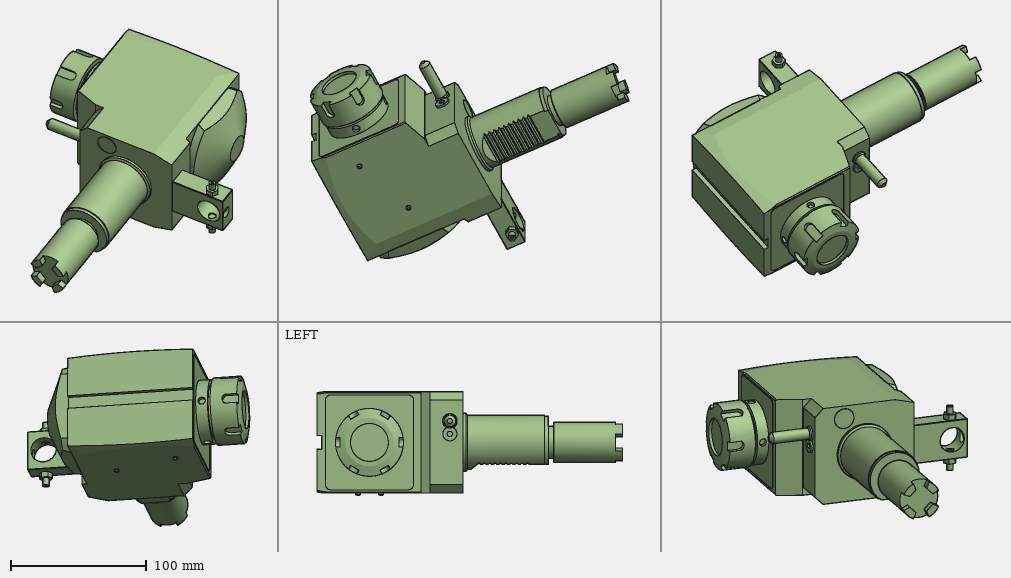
import cadquery as cq
import math


overlap = 2.3

half_height = 37.5
left_x, right_x, back_y = -58.6, 35.0, 107.8
flange_half, flange_left_y, flange_right_y = 39.0, 24.4, 27.0
left_corner_y, right_corner_y = 31.1, 28.9
head_overhang = 0.7
flange_chamfer = 6.3
left_edge_chamfer = 1.0
side_slope_x, side_slope_angle = 24.0, 15.0
crown_x, crown_y, crown_radius, crown_angle = -17.5, -12.5, 115.5, 10.0
crown_rim_radius = 146.5
back_slot_width, back_slot_depth = 10.0, 3.5
cover_width, cover_height, cover_radius, cover_depth = 65.2, 70.0, 4.0, 0.2
plug_x, plug_z, plug_radius, plug_depth = -16.0, 27.5, 7.7, 0.2

spindle_y = 69.0
nut_face_x, nut_shoulder_x, nut_back_x = -91.3, -89.3, -69.5
collar_front_x = -67.2
nut_face_radius, nut_radius = 17.8, 25.0
neck_radius, collar_radius = 20.8, 24.0
bore_radius, bore_depth = 14.0, 2.3
nut_slot_width, nut_slot_depth = 7.0, 3.4
nut_slot_end, nut_slot_end_upper = -78.3, -74.7
upper_slot_angles = (60, 120)
collar_hole_x, collar_hole_radius, collar_hole_depth = -63.0, 2.7, 3.4

cap_radius, cap_tip_radius = 40.4, 10.1
cap_rim_x, cap_tip_x, cap_flat_y = 41.3, 55.3, 100.4
cap_inset = 0.7

ring_radius, ring_length, ring_end_y = 21.7, 2.0, -3.2
shank_radius, shank_end_y, shank_end_radius, shank_end_length = 20.0, -63.0, 19.5, 2.7
drive_neck_radius, drive_start_y = 12.0, -66.8
drive_diameter, drive_face_y, drive_end_y = 30.0, -112.5, -117.7
drive_chamfer = 0.5
drive_radius = drive_diameter / 2
lug_inner_radius, lug_half_angle = 10.0, 20.5
flat_z, flat_start_y, flat_ramp_y, flat_ramp_angle = -16.2, -10.4, -5.5, 39.0
tooth_first_y, tooth_last_y, tooth_count, tooth_depth = -11.7, -47.5, 10, 1.1
tooth_pitch = (tooth_first_y - tooth_last_y) / (tooth_count - 1)

pin_y, pin_z, pin_radius, pin_tip_x, pin_tip_chamfer = 9.7, 15.8, 4.3, -72.0, 2.5
pin_collar_radius, pin_collar_x, pin_collar_chamfer = 5.5, -41.3, 1.0
screw_z, screw_radius, screw_height, screw_socket = 6.3, 5.2, 1.5, 4.3
nipple_places = ((-40.4, 77.4), (6.8, 60.5))
nipple_radius, nipple_height = 1.8, 1.8

arm_end_x, arm_front_y, arm_back_y, arm_half_height = 81.6, 1.1, 16.2, 15.0
arm_chamfer = 0.5
arm_hole_x, arm_hole_radius = 69.7, 9.5
end_hole_radius = 4.3
stud_y, stud_radius, stud_top = 6.3, 2.5, 24.8
stud_recess_radius, stud_recess_height = 3.0, 10.4
lock_nut_width, lock_nut_height = 9.7, 4.0
stud_socket, stud_socket_depth = 2.5, 1.8


def prism_z(points, half):
    return cq.Workplane("XY").polyline(points).close().extrude(half, both=True)


def cylinder_x(y, z, radius, x_from, x_to):
    return cq.Workplane("YZ", origin=(x_from, y, z)).circle(radius).extrude(x_to - x_from)


def side_slopes(inset):
    """Cross-section that narrows toward +X along both 15 degree faces."""
    far_x = cap_tip_x + overlap
    drop = math.tan(math.radians(side_slope_angle)) * (far_x - side_slope_x)
    top = half_height - inset
    outline = [(left_x, -top), (side_slope_x, -top), (far_x, drop - top),
               (far_x, top - drop), (side_slope_x, top), (left_x, top)]
    wedge = cq.Workplane("XZ", origin=(0, back_y, 0)).polyline(outline).close()
    return wedge.extrude(back_y + overlap)


def crown():
    """Disc with 10 degree conical rims that slope the back of the housing."""
    rim = half_height - math.tan(math.radians(crown_angle)) * (crown_rim_radius - crown_radius)
    section = cq.Workplane("XZ", origin=(crown_x, crown_y, 0)).polyline([
        (0, -half_height), (crown_radius, -half_height), (crown_rim_radius, -rim),
        (crown_rim_radius, rim), (crown_radius, half_height), (0, half_height)]).close()
    return section.revolve(360, (0, 0, 0), (0, 1, 0))


def housing():
    head = prism_z([(left_x, left_corner_y), (-flange_half - head_overhang, flange_left_y),
                    (right_x, flange_left_y), (right_x, back_y), (left_x, back_y)], half_height)
    head = head.faces("<X").edges("|Y").chamfer(left_edge_chamfer)
    flange = prism_z([(-flange_half, 0), (flange_half, 0), (flange_half, flange_right_y),
                      (right_x, right_corner_y), (-flange_half, right_corner_y)], half_height)
    flange = flange.faces("<X").edges("|Y").chamfer(flange_chamfer)
    body = head.union(flange).intersect(side_slopes(0)).intersect(crown())

    slot = cq.Workplane("XY").box(4 * right_x, 2 * back_slot_depth, back_slot_width)
    body = body.cut(slot.translate((0, back_y, 0)))
    cover = (cq.Workplane("YZ", origin=(left_x, spindle_y, 0)).rect(cover_width, cover_height)
             .extrude(cover_depth).edges("|X").fillet(cover_radius))
    plug = cq.Workplane("XZ", origin=(plug_x, 0, plug_z)).circle(plug_radius).extrude(-plug_depth)
    return body.cut(cover).cut(plug)


def nut_slot(end_x):
    """Open-ended slot cutter with a round end, lying on the +Y side of the spindle axis."""
    floor = nut_radius - nut_slot_depth
    length = 2 * (end_x - nut_face_x)
    slot = cq.Workplane("XZ", origin=(nut_face_x, floor, 0)).slot2D(length, nut_slot_width)
    return slot.extrude(-2 * nut_slot_depth)


def spindle():
    """Collet nut and collar, built about the X axis and then moved to the spindle axis."""
    profile = cq.Workplane("XY").polyline([
        (nut_face_x, 0), (nut_face_x, nut_face_radius), (nut_shoulder_x, nut_radius),
        (nut_back_x, nut_radius), (nut_back_x, neck_radius),
        (collar_front_x, neck_radius), (collar_front_x, collar_radius),
        (left_x + overlap, collar_radius), (left_x + overlap, 0)]).close()
    body = profile.revolve(360, (0, 0, 0), (1, 0, 0))
    body = body.cut(cylinder_x(0, 0, bore_radius, nut_face_x, nut_face_x + bore_depth))
    for angle in range(0, 360, 60):
        end_x = nut_slot_end_upper if angle in upper_slot_angles else nut_slot_end
        body = body.cut(nut_slot(end_x).rotate((0, 0, 0), (1, 0, 0), angle))
    for angle in range(0, 360, 90):
        hole = (cq.Workplane("XY", origin=(collar_hole_x, 0, collar_radius - collar_hole_depth))
                .circle(collar_hole_radius).extrude(2 * collar_hole_depth))
        body = body.cut(hole.rotate((0, 0, 0), (1, 0, 0), angle))
    return body.translate((0, spindle_y, 0))


def rear_cap():
    profile = cq.Workplane("XY", origin=(0, spindle_y, 0)).polyline([
        (right_x - overlap, 0), (right_x - overlap, cap_radius), (cap_rim_x, cap_radius),
        (cap_tip_x, cap_tip_radius), (cap_tip_x, 0)]).close()
    cap = profile.revolve(360, (0, 0, 0), (1, 0, 0)).intersect(side_slopes(cap_inset))
    beyond_flat = cq.Workplane("XY").box(4 * cap_tip_x, cap_radius, 4 * cap_radius)
    return cap.cut(beyond_flat.translate((0, cap_flat_y + cap_radius / 2, 0)))


def lug_clearance():
    """Material removed from the drive end, leaving four sector-shaped lugs with straight inner sides."""
    angle = math.radians(lug_half_angle)
    inner_z = lug_inner_radius * math.sin(angle)
    inner_x = lug_inner_radius * math.cos(angle)
    outer_x = 2 * drive_radius
    outer_z = outer_x * math.tan(angle)
    face = cq.Workplane("XZ", origin=(0, drive_face_y, 0))
    lug_length = drive_face_y - drive_end_y
    clearance = face.circle(1.5 * drive_radius).extrude(lug_length)
    lug = face.polyline([(inner_x, -inner_z), (outer_x, -outer_z), (outer_x, outer_z), (inner_x, inner_z)])
    lug = lug.close().extrude(lug_length)
    for direction in range(45, 360, 90):
        clearance = clearance.cut(lug.rotate((0, 0, 0), (0, 1, 0), direction))
    return clearance


def shank():
    profile = cq.Workplane("XY").polyline([
        (0, overlap), (ring_radius, overlap), (ring_radius, -ring_length), (shank_radius, ring_end_y),
        (shank_radius, shank_end_y + shank_end_length), (shank_end_radius, shank_end_y + shank_end_length),
        (shank_end_radius, shank_end_y), (drive_neck_radius, shank_end_y),
        (drive_neck_radius, drive_start_y), (drive_radius - drive_chamfer, drive_start_y),
        (drive_radius, drive_start_y - drive_chamfer), (drive_radius, drive_end_y),
        (0, drive_end_y)]).close()
    body = profile.revolve(360, (0, 0, 0), (0, 1, 0))

    ramp_z = flat_z - (flat_ramp_y - flat_start_y) * math.tan(math.radians(flat_ramp_angle))
    flat = cq.Workplane("YZ").polyline([
        (shank_end_y, flat_z), (flat_start_y, flat_z), (flat_ramp_y, ramp_z),
        (shank_end_y, ramp_z)]).close().extrude(shank_radius, both=True)
    body = body.cut(flat)
    for index in range(tooth_count):
        y = tooth_first_y - index * tooth_pitch
        groove = cq.Workplane("YZ").polyline([
            (y - tooth_depth, flat_z), (y, flat_z + tooth_depth), (y + tooth_depth, flat_z)])
        body = body.cut(groove.close().extrude(shank_radius, both=True))
    return body.cut(lug_clearance())


def side_pin():
    root_x = -flange_half + overlap
    pin = cylinder_x(pin_y, pin_z, pin_radius, pin_tip_x, root_x).faces("<X").chamfer(pin_tip_chamfer)
    collar = cylinder_x(pin_y, pin_z, pin_collar_radius, pin_collar_x, root_x)
    return pin.union(collar.faces("<X").chamfer(pin_collar_chamfer))


def side_screw():
    face_x = -flange_half - screw_height
    head = cylinder_x(pin_y, screw_z, screw_radius, face_x, -flange_half + overlap)
    socket = cq.Workplane("YZ", origin=(face_x, pin_y, screw_z)).polygon(6, screw_socket)
    return head.cut(socket.extrude(2 * screw_height))


def nipples():
    points = cq.Workplane("XY", origin=(0, 0, -half_height)).pushPoints(nipple_places)
    cones = points.circle(nipple_radius).extrude(-nipple_height)
    return cones.faces("<Z").chamfer(nipple_height / 2)


def clamp_arm():
    arm = cq.Workplane("XY").box(arm_end_x - right_x, arm_back_y - arm_front_y, 2 * arm_half_height,
                                 centered=(False, False, True))
    arm = arm.translate((right_x, arm_front_y, 0)).edges("|X or >X").chamfer(arm_chamfer)
    for direction in (1, -1):
        stud = cq.Workplane("XY", origin=(arm_hole_x, stud_y, 0))
        stud = stud.circle(stud_radius).extrude(direction * stud_top)
        base = cq.Workplane("XY", origin=(arm_hole_x, stud_y, direction * arm_half_height))
        hexagon = base.polygon(6, lock_nut_width).extrude(direction * lock_nut_height)
        tip = cq.Workplane("XY", origin=(arm_hole_x, stud_y, direction * stud_top))
        socket = tip.polygon(6, stud_socket).extrude(-direction * stud_socket_depth)
        arm = arm.union(stud).union(hexagon).cut(socket)
    hole = cq.Workplane("XZ", origin=(arm_hole_x, 0, 0)).circle(arm_hole_radius)
    arm = arm.cut(hole.extrude(-2 * arm_back_y))
    recess = cq.Workplane("XY", origin=(arm_hole_x, stud_y, 0)).circle(stud_recess_radius)
    arm = arm.cut(recess.extrude(stud_recess_height, both=True))
    return arm.cut(cylinder_x(stud_y, 0, end_hole_radius, arm_hole_x, arm_end_x + overlap))


result = housing()
for feature in (spindle(), rear_cap(), shank(), side_pin(), side_screw(), nipples(), clamp_arm()):
    result = result.union(feature)